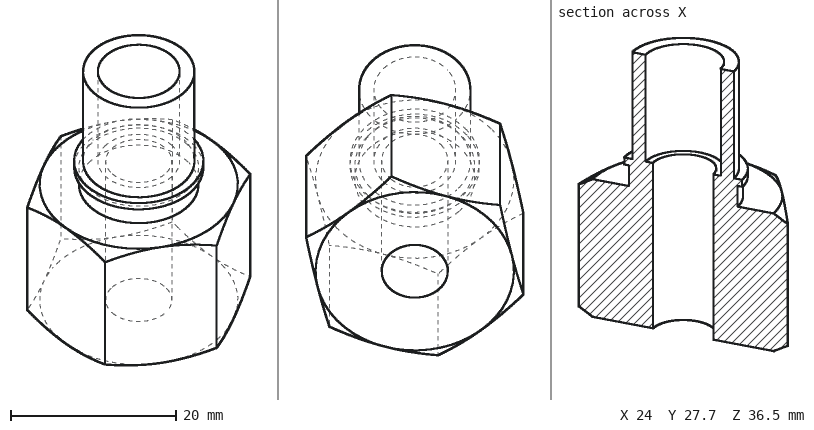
import cadquery as cq
import math

ACROSS_FLATS = 24.0
NUT_HEIGHT = 18.5
CHAMFER_ANGLE = 30.0

NECK_DIAMETER = 14.5
COLLAR_DIAMETER = 15.66
TUBE_DIAMETER = 13.5
COLLAR_BOTTOM = 21.2
COLLAR_THICKNESS = 1.0
TOTAL_HEIGHT = 36.5

THROUGH_DIAMETER = 8.0
TUBE_BORE_DIAMETER = 9.9

ACROSS_CORNERS = ACROSS_FLATS / math.cos(math.radians(30))
COLLAR_TOP = COLLAR_BOTTOM + COLLAR_THICKNESS


def cylinder(diameter, bottom, top):
    """Round bar on the Z axis between two heights."""
    return cq.Workplane("XY").workplane(offset=bottom).circle(diameter / 2).extrude(top - bottom)


def chamfer_envelope():
    """Turned body whose conical ends cut back the corners of the hexagon."""
    face_radius = ACROSS_FLATS / 2
    corner_radius = ACROSS_CORNERS / 2
    chamfer_height = (corner_radius - face_radius) * math.tan(math.radians(CHAMFER_ANGLE))
    profile = [
        (0, 0),
        (face_radius, 0),
        (corner_radius, chamfer_height),
        (corner_radius, NUT_HEIGHT - chamfer_height),
        (face_radius, NUT_HEIGHT),
        (0, NUT_HEIGHT),
    ]
    return cq.Workplane("XZ").polyline(profile).close().revolve(360, (0, 0, 0), (0, 1, 0))


def hex_nut():
    """Hexagon with flats facing +X and -X, chamfered at both ends."""
    hexagon = cq.Workplane("XY").polygon(6, ACROSS_CORNERS).extrude(NUT_HEIGHT)
    hexagon = hexagon.rotate((0, 0, 0), (0, 0, 1), 30)
    return hexagon.intersect(chamfer_envelope())


def stem():
    """Neck, thin collar and tube, stacked above the nut."""
    neck = cylinder(NECK_DIAMETER, NUT_HEIGHT, COLLAR_BOTTOM)
    collar = cylinder(COLLAR_DIAMETER, COLLAR_BOTTOM, COLLAR_TOP)
    tube = cylinder(TUBE_DIAMETER, COLLAR_TOP, TOTAL_HEIGHT)
    return neck.union(collar).union(tube)


def passage():
    """Through hole that widens inside the tube, down to the top of the collar."""
    through_hole = cylinder(THROUGH_DIAMETER, 0, TOTAL_HEIGHT)
    tube_bore = cylinder(TUBE_BORE_DIAMETER, COLLAR_TOP, TOTAL_HEIGHT)
    return through_hole.union(tube_bore)


result = hex_nut().union(stem()).cut(passage())